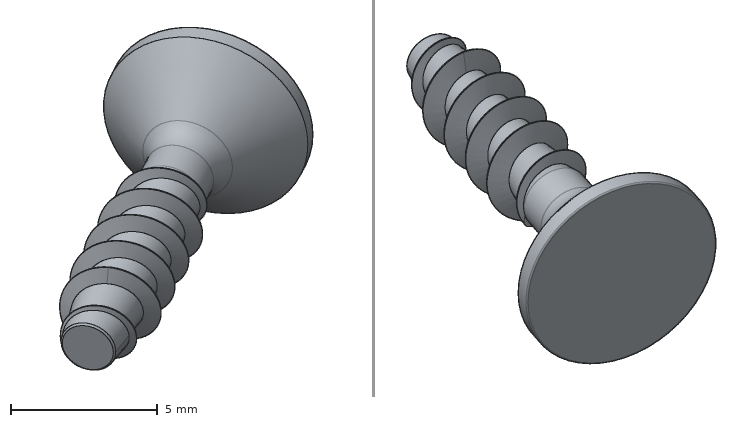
import cadquery as cq
import math


length = 14.0
head_radius = 7.3 / 2
head_rim = 0.63
rim_round = 0.05
head_angle = 45.0
neck_fillet = 1.3
shank_radius = 1.22
shank_end = 4.85

pitch = 1.57
root_radius = 1.01
band_radius = 1.18
core_radius = 0.95
band_inner_radius = 0.73
tip_radius = 0.97
tip_slope = 0.15
tip_chamfer = 0.05
shank_taper_length = 0.84

crest_radius = 1.75
crest_width = 0.04
head_side_width = 0.22
tip_side_width = 0.18
ridge_base_radius = 0.87
full_depth_end = 11.65
full_depth_turns = 3.5
lead_in_turns = 1.25
lead_in_growth = 0.45
run_out_turns = 1.6
run_out_drop = 0.52

lead_in_start = full_depth_end - (full_depth_turns + lead_in_turns) * pitch
crest_end_angle = 90.0

untrimmed_length = length + pitch / 2


def make_body():
    """Head with its conical underside, neck fillet and shank, down to a cylindrical inner core."""
    tilt = math.radians(head_angle)
    fillet_radius = shank_radius + neck_fillet * (1 - math.cos(tilt))
    fillet_start = head_rim + (head_radius - fillet_radius) / math.tan(tilt)
    fillet_end = fillet_start + neck_fillet * math.sin(tilt)
    mid_radius = shank_radius + neck_fillet * (1 - math.cos(tilt / 2))
    mid_height = fillet_end - neck_fillet * math.sin(tilt / 2)
    outline = (
        cq.Workplane("XZ")
        .lineTo(head_radius, 0)
        .lineTo(head_radius, head_rim)
        .lineTo(fillet_radius, fillet_start)
        .threePointArc((mid_radius, mid_height), (shank_radius, fillet_end))
        .lineTo(shank_radius, shank_end)
        .lineTo(root_radius, shank_end + shank_taper_length)
        .lineTo(core_radius, shank_end + shank_taper_length)
        .lineTo(core_radius, untrimmed_length)
        .lineTo(0, untrimmed_length)
        .close()
    )
    body = outline.revolve(360, (0, 0, 0), (0, 1, 0))
    return body.faces("<Z").edges().fillet(rim_round)


def helix(radius, start, turns, growth, start_angle):
    """Right-handed helix whose radius changes by `growth` each turn."""
    centre = cq.Vector(0, 0, start)
    axis = cq.Vector(0, 0, 1)
    if growth == 0:
        wire = cq.Wire.makeHelix(pitch, turns * pitch, radius, centre, axis)
    else:
        slant_pitch = math.hypot(pitch, growth)
        cone_angle = math.degrees(math.atan2(growth, pitch))
        wire = cq.Wire.makeHelix(slant_pitch, turns * slant_pitch, radius, centre, axis, cone_angle)
    return wire.rotate(cq.Vector(), axis, start_angle)


def helical_solid(profile, stretches):
    """Solid swept by a (radius, axial offset) profile.

    Each stretch is (axial start, turns, radial shift, radial growth per turn).
    """
    faces = []
    end_points = []
    for start, turns, shift, growth in stretches:
        start_angle = crest_end_angle - 360 * (full_depth_end - start) / pitch
        rails = [
            helix(radius + shift, start + offset, turns, growth, start_angle)
            for radius, offset in profile
        ]
        for rail, next_rail in zip(rails, rails[1:] + rails[:1]):
            faces += cq.Face.makeRuledSurface(rail, next_rail).Faces()
        end_points.append([rail.startPoint() for rail in rails])
        end_points.append([rail.endPoint() for rail in rails])
    for points in (end_points[0], end_points[-1]):
        faces.append(cq.Face.makeFromWires(cq.Wire.makePolygon(points, close=True)))
    return cq.Workplane(cq.Solid.makeSolid(cq.Shell.makeShell(faces)))


def make_ridge():
    """Thread ridge that grows out of the shank and sinks back into the core at the tip."""
    half_crest = crest_width / 2
    tip_flank = (tip_side_width - half_crest) / (crest_radius - band_radius)
    head_flank = (head_side_width - half_crest) / (crest_radius - root_radius)
    depth = crest_radius - ridge_base_radius
    profile = [
        (ridge_base_radius, -half_crest - head_flank * depth),
        (crest_radius, -half_crest),
        (crest_radius, half_crest),
        (ridge_base_radius, half_crest + tip_flank * depth),
    ]
    full_depth_start = full_depth_end - full_depth_turns * pitch
    stretches = [
        (lead_in_start, lead_in_turns, -lead_in_growth * lead_in_turns, lead_in_growth),
        (full_depth_start, full_depth_turns, 0, 0),
        (full_depth_end, run_out_turns, 0, -run_out_drop),
    ]
    below_shank = cq.Workplane().workplane(offset=shank_end).circle(2 * crest_radius).extrude(length)
    return helical_solid(profile, stretches).intersect(below_shank)


def make_band():
    """Core surface between the ridges: it narrows toward the tip within each turn."""
    slope = (band_radius - root_radius) / (pitch - head_side_width - tip_side_width)
    edge_gap = crest_width / 4
    head_edge_radius = band_radius + slope * (tip_side_width - edge_gap)
    tip_edge_radius = root_radius - slope * (head_side_width - edge_gap)
    profile = [
        (band_inner_radius, edge_gap),
        (head_edge_radius, edge_gap),
        (tip_edge_radius, pitch - edge_gap),
        (band_inner_radius, pitch - edge_gap),
    ]
    turns = (untrimmed_length - lead_in_start) / pitch
    band = helical_solid(profile, [(lead_in_start, turns, 0, 0)])
    start_radius = tip_radius + tip_slope * (length - lead_in_start)
    end_radius = tip_radius - tip_slope * (untrimmed_length - length)
    envelope = (
        cq.Workplane("XZ")
        .moveTo(0, lead_in_start)
        .lineTo(start_radius, lead_in_start)
        .lineTo(end_radius, untrimmed_length)
        .lineTo(0, untrimmed_length)
        .close()
        .revolve(360, (0, 0, 0), (0, 1, 0))
    )
    return band.intersect(envelope)


def make_tip_cutter():
    """Everything beyond the flat tip and its chamfer."""
    flat_radius = tip_radius - tip_chamfer
    return (
        cq.Workplane("XZ")
        .moveTo(0, length)
        .lineTo(flat_radius, length)
        .lineTo(head_radius, length - (head_radius - flat_radius))
        .lineTo(head_radius, 2 * length)
        .lineTo(0, 2 * length)
        .close()
        .revolve(360, (0, 0, 0), (0, 1, 0))
    )


screw = make_body().union(make_band(), clean=False).union(make_ridge(), clean=False)
result = screw.cut(make_tip_cutter(), clean=False).rotate((0, 0, 0), (1, 0, 0), 90)